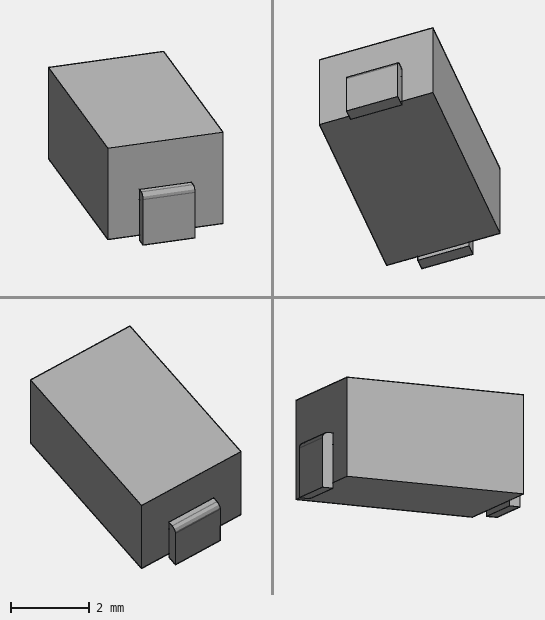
import cadquery as cq

overall_length = 5.6
housing_length = 5.0
housing_width = 3.1
overall_height = 2.75
standoff = 0.145
terminal_width = 1.4
terminal_height = 1.45
bend_radius = 0.15

housing_height = overall_height - standoff
strip_thickness = (overall_length - housing_length) / 2
web_underside = terminal_height - strip_thickness


def standing_block(length, width, height):
    """Block centred in X and Y with its underside at Z = 0."""
    return cq.Workplane("XY").box(length, width, height, centered=(True, True, False))


def make_lead_frame():
    """One bent strip: a flat web through the housing and a terminal down each end."""
    outer = standing_block(overall_length, terminal_width, terminal_height)
    outer = outer.faces(">Z").edges("|Y").fillet(bend_radius)
    space_under_web = standing_block(housing_length, terminal_width, web_underside)
    return outer.cut(space_under_web).solids()


def make_housing(lead_frame):
    """Plain block standing clear of the feet, with a slot that fits the web."""
    block = standing_block(housing_length, housing_width, housing_height)
    return block.translate((0, 0, standoff)).cut(lead_frame).solids()


lead_frame = make_lead_frame()
housing = make_housing(lead_frame)

result = cq.Compound.makeCompound([housing.val(), lead_frame.val()])